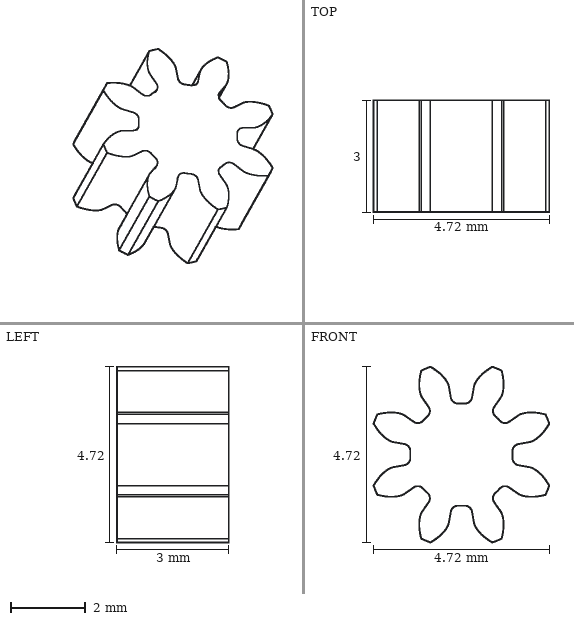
import cadquery as cq
import math

MODULE = 0.5
TEETH = 8
PRESSURE_ANGLE = math.radians(20)
FACE_WIDTH = 3.0
DEDENDUM_FACTOR = 1.25
FILLET_FACTOR = 0.38

PITCH_RADIUS = MODULE * TEETH / 2
TIP_RADIUS = PITCH_RADIUS + MODULE
ROOT_RADIUS = PITCH_RADIUS - DEDENDUM_FACTOR * MODULE
BASE_RADIUS = PITCH_RADIUS * math.cos(PRESSURE_ANGLE)
FILLET_RADIUS = FILLET_FACTOR * MODULE

TOOTH_PITCH = 2 * math.pi / TEETH
TIP_ROLL = math.sqrt((TIP_RADIUS / BASE_RADIUS) ** 2 - 1)
INVOLUTE_POINTS = 9


def polar(radius, angle):
    """Point at a given radius and angle about the gear axis."""
    return (radius * math.cos(angle), radius * math.sin(angle))


def involute(angle):
    """Involute function: polar angle swept from the base circle."""
    return math.tan(angle) - angle


HALF_BASE = TOOTH_PITCH / 4 + involute(PRESSURE_ANGLE)

FILLET_CENTRE_RADIUS = ROOT_RADIUS + FILLET_RADIUS
FILLET_SWING = math.asin(FILLET_RADIUS / FILLET_CENTRE_RADIUS)
FILLET_TOP_RADIUS = FILLET_CENTRE_RADIUS * math.cos(FILLET_SWING)
HALF_ROOT = HALF_BASE + FILLET_SWING


def flank_points(centre, side):
    """Points on one flank, radial then involute, from fillet to tip; side is -1 or +1."""
    base_direction = centre + side * HALF_BASE
    middle_radius = (FILLET_TOP_RADIUS + BASE_RADIUS) / 2
    points = [polar(FILLET_TOP_RADIUS, base_direction), polar(middle_radius, base_direction)]
    for i in range(INVOLUTE_POINTS):
        roll = TIP_ROLL * i / (INVOLUTE_POINTS - 1)
        radius = BASE_RADIUS * math.sqrt(1 + roll ** 2)
        half_angle = HALF_BASE - involute(math.atan(roll))
        points.append(polar(radius, centre + side * half_angle))
    return points


def flank_tangents(centre, side):
    """Outward flank directions at the root fillet and at the tip."""
    base_direction = centre + side * HALF_BASE
    return [polar(1, base_direction), polar(1, base_direction - side * TIP_ROLL)]


def fillet_middle(centre, side):
    """Point of the root fillet nearest the corner it rounds."""
    x, y = polar(FILLET_CENTRE_RADIUS, centre + side * HALF_ROOT)
    towards_axis = centre + side * HALF_ROOT + math.pi
    towards_flank = centre + side * (HALF_BASE - math.pi / 2)
    direction = (
        math.cos(towards_axis) + math.cos(towards_flank),
        math.sin(towards_axis) + math.sin(towards_flank),
    )
    length = math.hypot(*direction)
    return (
        x + FILLET_RADIUS * direction[0] / length,
        y + FILLET_RADIUS * direction[1] / length,
    )


def add_tooth(outline, centre):
    """Append one tooth and the root arc that follows it, counter-clockwise."""
    rising = flank_points(centre, -1)
    falling = flank_points(centre, 1)[::-1]
    rising_tangents = flank_tangents(centre, -1)
    falling_tangents = [(-x, -y) for x, y in reversed(flank_tangents(centre, 1))]
    next_centre = centre + TOOTH_PITCH
    return (
        outline
        .threePointArc(fillet_middle(centre, -1), rising[0])
        .spline(rising[1:], tangents=rising_tangents, includeCurrent=True)
        .threePointArc(polar(TIP_RADIUS, centre), falling[0])
        .spline(falling[1:], tangents=falling_tangents, includeCurrent=True)
        .threePointArc(fillet_middle(centre, 1), polar(ROOT_RADIUS, centre + HALF_ROOT))
        .threePointArc(
            polar(ROOT_RADIUS, centre + TOOTH_PITCH / 2),
            polar(ROOT_RADIUS, next_centre - HALF_ROOT),
        )
    )


def make_gear():
    """Extrude the closed outline of all the teeth from the back face to the front."""
    first_centre = TOOTH_PITCH / 2
    back_face = cq.Workplane("XZ", origin=(0, FACE_WIDTH / 2, 0))
    outline = back_face.moveTo(*polar(ROOT_RADIUS, first_centre - HALF_ROOT))
    for i in range(TEETH):
        outline = add_tooth(outline, first_centre + i * TOOTH_PITCH)
    return outline.close().extrude(FACE_WIDTH)


result = make_gear()